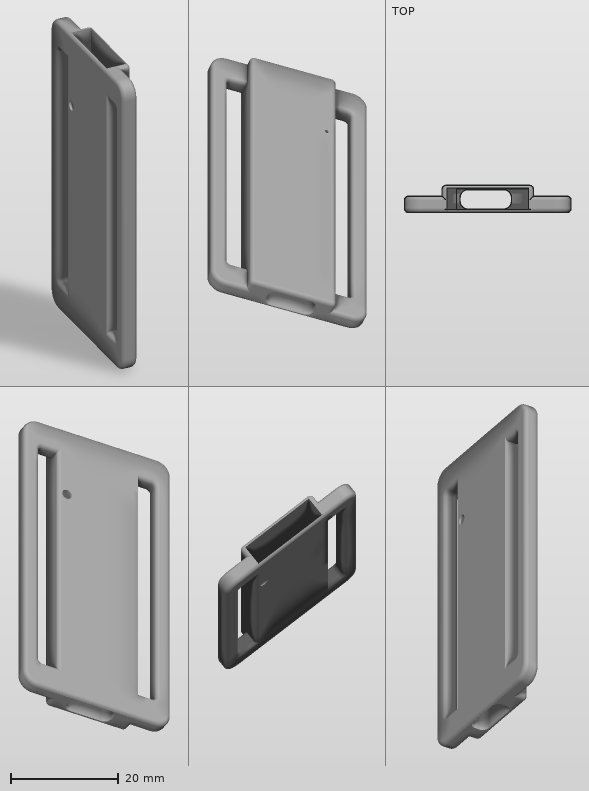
import cadquery as cq
length = 61.35
width = 31.05
depth = 5.1
plate_depth = 3.05
corner_radius = 3.0
edge_radius = 0.8

box_width = 17.05
wall = 0.55
cavity_width = 15.1
end_wall = 0.75

slot_width = 3.85
slot_length = 50.0

port_width = 9.5
port_height = 3.55
port_radius = 1.4
port_x = -0.35

window_diameter = 1.95
window_x = -6.55
window_z = 15.7
pin_hole_diameter = 0.75
groove_depth = 0.2

strip_width = 1.7
insert_height = 12.3
insert_clearance = 0.2

cavity_depth = depth - 2 * wall
cavity_floor = end_wall - length / 2
insert_width = cavity_width - strip_width
insert_depth = cavity_depth - insert_clearance
strip_x = (strip_width - cavity_width) / 2
insert_x = strip_width / 2
port_y = wall + (insert_depth - port_height) / 2


def block(x_size, y_size, z_size, x, y, z):
    """Box centred on x that starts at y and z and grows towards +Y and +Z."""
    box = cq.Workplane("XY").box(x_size, y_size, z_size, centered=(True, False, False))
    return box.translate((x, y, z))


def round_cutter(diameter, y_start, y_length):
    """Cylinder along Y on the axis of the window."""
    plane = cq.Workplane("XZ", origin=(window_x, y_start, window_z))
    return plane.circle(diameter / 2).extrude(-y_length)


def make_plate():
    plate = block(width, plate_depth, length, 0, 0, -length / 2)
    plate = plate.edges("|Y").fillet(corner_radius)
    return plate.faces("<Y or >Y").edges().fillet(edge_radius)


def make_box():
    box = block(box_width, depth - wall, length, 0, wall, -length / 2)
    return box.edges("|Y or >Y").fillet(edge_radius)


def cut_slot(plate, side):
    """Cut a slot against the box and round its edges; the edges along the box stay sharp."""
    inner_x = side * box_width / 2
    slot_x = side * (box_width + slot_width) / 2
    plate = plate.cut(block(slot_width, plate_depth, slot_length, slot_x, 0, -slot_length / 2))

    outer_x = side * (box_width / 2 + slot_width)
    margin = edge_radius / 2
    slot_edges = cq.selectors.BoxSelector(
        (min(inner_x, outer_x) + (-margin if side < 0 else margin), -margin, -slot_length / 2 - margin),
        (max(inner_x, outer_x) + (-margin if side < 0 else margin), plate_depth + margin, slot_length / 2 + margin),
    )
    front_inner_edge = cq.selectors.NearestToPointSelector((inner_x, 0, 0))
    rounded = slot_edges + front_inner_edge if side < 0 else slot_edges
    return plate.edges(rounded).fillet(edge_radius)


def cavity_cutter():
    return block(cavity_width, cavity_depth, length, 0, wall, cavity_floor)


def port_cutter():
    port = block(port_width, port_height, length, port_x, port_y, -length / 2)
    return port.edges("|Z").fillet(port_radius)


def groove_cutter():
    """Shallow groove across the back wall, as wide as the pin hole."""
    groove_z = window_z - pin_hole_diameter / 2
    return block(strip_width, groove_depth, pin_hole_diameter, strip_x, depth - wall, groove_z)


def make_housing():
    plate = make_plate()
    for side in (-1, 1):
        plate = cut_slot(plate, side)
    housing = plate.union(make_box())
    housing = housing.cut(cavity_cutter())
    housing = housing.cut(port_cutter())
    housing = housing.cut(round_cutter(window_diameter, 0, wall))
    housing = housing.cut(round_cutter(pin_hole_diameter, 0, depth))
    return housing.cut(groove_cutter())


def make_strip():
    return block(strip_width, cavity_depth, insert_height, strip_x, wall, cavity_floor)


def make_insert():
    insert = block(insert_width, insert_depth, insert_height, insert_x, wall, cavity_floor)
    return insert.cut(port_cutter())


housing = make_housing()
strip = make_strip()
insert = make_insert()

result = cq.Compound.makeCompound([housing.val(), strip.val(), insert.val()])